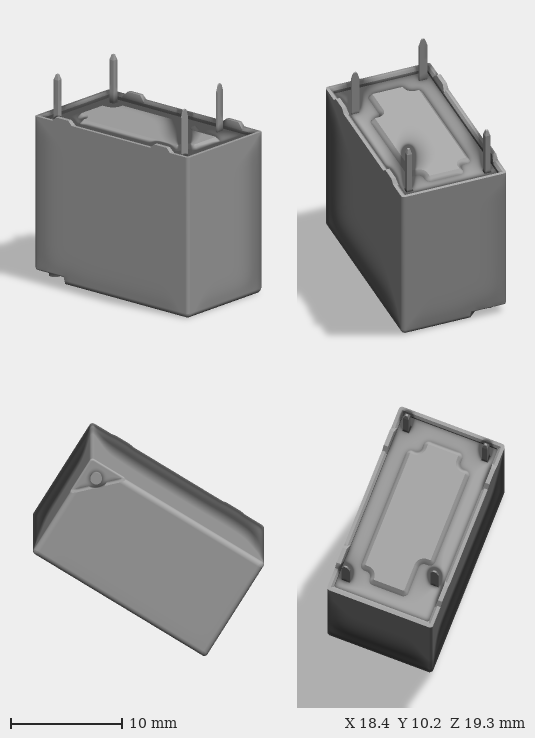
import cadquery as cq
import math

LENGTH = 18.4
WIDTH = 10.2
TOTAL_HEIGHT = 19.3
RIM_HEIGHT = 15.3

SIDE_EDGE_RADIUS = 0.3
FLOOR_EDGE_RADIUS = 0.5
RIM_THICKNESS = 0.3
WALL_THICKNESS = 0.52
LEAD_IN_DEPTH = 0.23
CAVITY_CORNER_RADIUS = 0.203
FLOOR_THICKNESS = 1.35

TAB_HEIGHT = 0.4
TAB_TOP_LENGTH = 1.5
TAB_TOP_THICKNESS = 0.4
TAB_END_DEPTH = 0.12
TAB_X = 5.89

RECESS_FLOOR_LEG = 3.75
RECESS_TOP_LEG = 3.47
RECESS_HEIGHT = 0.73
RECESS_LIP_RADIUS = 0.17
SCOOP_DIAMETER = 2.8
SCOOP_INSET = 0.96
PEG_DIAMETER = 1.06
PEG_INSET = 1.31
PEG_CLEARANCE = 0.15

BASE_TOP = 14.76
PLATEAU_HEIGHT = 0.4
PLATEAU_CORNER_RADIUS = 0.48
PLATEAU_END_X = 7.2
PLATEAU_SIDE_Y = 3.07
PLATEAU_NOTCH_Y = 1.87
PLATEAU_NOTCH_LEFT_X = -5.85
PLATEAU_NOTCH_BACK_X = 3.67
PLATEAU_NOTCH_FRONT_X = 6.2

PIN_DEPTH = 1.93
PIN_ROW_Y = 3.8
COIL_PIN_X = -7.55
COIL_PIN_SIDE = 0.5
COIL_TIP_SIDE = 0.21
COIL_TIP_LENGTH = 0.5
FUNNEL_SIDE = 0.7
FUNNEL_DEPTH = 0.2
BLADE_WIDTH = 0.8
BLADE_THICKNESS = 0.15
BLADE_TIP_LENGTH = 0.75
BLADE_TIP_DIAMETER = 0.4

CAVITY_LENGTH = LENGTH - 2 * WALL_THICKNESS
CAVITY_WIDTH = WIDTH - 2 * WALL_THICKNESS
COIL_PIN_PLACES = [(COIL_PIN_X, side * PIN_ROW_Y) for side in (-1, 1)]
BLADE_PLACES = [(5.17, PIN_ROW_Y), (7.65, -PIN_ROW_Y)]


def block(length, width, bottom, top):
    """Box centred in X and Y between two heights."""
    return cq.Workplane("XY").workplane(offset=bottom).rect(length, width).extrude(top - bottom)


def frustum(length, width, bottom, top, widening):
    """Rectangular loft that is wider at the top by `widening` on every side."""
    return (
        cq.Workplane("XY").workplane(offset=bottom).rect(length, width)
        .workplane(offset=top - bottom).rect(length + 2 * widening, width + 2 * widening)
        .loft(ruled=True)
    )


def rounded_block(bottom, top, bottom_radius):
    """Block with the plan of the cover, rounded at its upright edges and round its bottom."""
    sides = block(LENGTH, WIDTH, bottom, top).edges("|Z").fillet(SIDE_EDGE_RADIUS)
    return sides.faces("<Z").edges().fillet(bottom_radius)


def make_cavity():
    """Space inside the cover, from its floor to its rim."""
    cavity = block(CAVITY_LENGTH, CAVITY_WIDTH, FLOOR_THICKNESS, RIM_HEIGHT)
    return cavity.edges("|Z").fillet(CAVITY_CORNER_RADIUS)


def make_tab(x, side):
    """Tab with a sloping inner face, standing on the foot of the lead-in.

    Its ends slope at 45 degrees to a little below the rim, then drop upright.
    """
    bottom = RIM_HEIGHT - LEAD_IN_DEPTH
    top = RIM_HEIGHT + TAB_HEIGHT
    slope_bottom = RIM_HEIGHT - TAB_END_DEPTH
    top_half = TAB_TOP_LENGTH / 2
    bottom_half = top_half + top - slope_bottom
    outer_y = WIDTH / 2
    ends = (
        cq.Workplane("XZ", origin=(x, 0, 0))
        .polyline([
            (-bottom_half, bottom),
            (bottom_half, bottom),
            (bottom_half, slope_bottom),
            (top_half, top),
            (-top_half, top),
            (-bottom_half, slope_bottom),
        ])
        .close().extrude(outer_y, both=True)
    )
    section = (
        cq.Workplane("YZ")
        .polyline([
            (side * outer_y, bottom),
            (side * (outer_y - WALL_THICKNESS), bottom),
            (side * (outer_y - TAB_TOP_THICKNESS), top),
            (side * outer_y, top),
        ])
        .close().extrude(LENGTH, both=True)
    )
    return ends.intersect(section)


def corner_prism(bottom_leg, top_leg, height):
    """Triangular prism from Z = 0 over the -X, -Y corner, with its long side drafted across the corner."""
    return (
        cq.Workplane("XY", origin=(-LENGTH / 2, -WIDTH / 2, 0))
        .polyline([(0, 0), (bottom_leg, 0), (0, bottom_leg)]).close()
        .workplane(offset=height)
        .polyline([(0, 0), (top_leg, 0), (0, top_leg)]).close()
        .loft(ruled=True)
    )


def corner_cylinder(diameter, inset, bottom, top):
    """Upright cylinder on the diagonal of the -X, -Y corner."""
    return (
        cq.Workplane("XY", origin=(-LENGTH / 2 + inset, -WIDTH / 2 + inset, bottom))
        .circle(diameter / 2).extrude(top - bottom)
    )


def make_corner_recess():
    """Drafted recess across the corner, scooped at its middle, with a rounded lip and a peg left standing."""
    lip_top = RECESS_HEIGHT + RECESS_LIP_RADIUS
    ceiling = rounded_block(RECESS_HEIGHT, RIM_HEIGHT, RECESS_LIP_RADIUS)
    scoop = corner_cylinder(SCOOP_DIAMETER, SCOOP_INSET, 0, RECESS_HEIGHT)
    peg = corner_cylinder(PEG_DIAMETER, PEG_INSET, PEG_CLEARANCE, RECESS_HEIGHT)
    return corner_prism(RECESS_FLOOR_LEG, RECESS_TOP_LEG, lip_top).cut(ceiling).union(scoop).cut(peg)


def make_cover():
    """Open box with a lead-in inside its rim, four tabs and a recess under one corner."""
    cover = rounded_block(0, RIM_HEIGHT, FLOOR_EDGE_RADIUS).cut(make_cavity())
    cover = cover.cut(
        frustum(CAVITY_LENGTH, CAVITY_WIDTH, RIM_HEIGHT - LEAD_IN_DEPTH, RIM_HEIGHT,
                WALL_THICKNESS - RIM_THICKNESS)
    )
    for x in (-TAB_X, TAB_X):
        for side in (-1, 1):
            cover = cover.union(make_tab(x, side))
    return cover.cut(make_corner_recess())


def make_plateau():
    """Raised field with stepped corners, rounded in plan and chamfered all round its top."""
    outline = [
        (-PLATEAU_END_X, -PLATEAU_NOTCH_Y),
        (PLATEAU_NOTCH_LEFT_X, -PLATEAU_NOTCH_Y),
        (PLATEAU_NOTCH_LEFT_X, -PLATEAU_SIDE_Y),
        (PLATEAU_NOTCH_FRONT_X, -PLATEAU_SIDE_Y),
        (PLATEAU_NOTCH_FRONT_X, -PLATEAU_NOTCH_Y),
        (PLATEAU_END_X, -PLATEAU_NOTCH_Y),
        (PLATEAU_END_X, PLATEAU_NOTCH_Y),
        (PLATEAU_NOTCH_BACK_X, PLATEAU_NOTCH_Y),
        (PLATEAU_NOTCH_BACK_X, PLATEAU_SIDE_Y),
        (PLATEAU_NOTCH_LEFT_X, PLATEAU_SIDE_Y),
        (PLATEAU_NOTCH_LEFT_X, PLATEAU_NOTCH_Y),
        (-PLATEAU_END_X, PLATEAU_NOTCH_Y),
    ]
    plateau = (
        cq.Workplane("XY").workplane(offset=BASE_TOP - PLATEAU_HEIGHT)
        .polyline(outline).close().extrude(2 * PLATEAU_HEIGHT)
    )
    return plateau.edges("|Z").fillet(PLATEAU_CORNER_RADIUS).faces(">Z").chamfer(PLATEAU_HEIGHT)


def make_base(pins):
    """Block that fills the cavity, with funnels around the coil pins and a hole for every pin."""
    base = make_cavity().intersect(block(LENGTH, WIDTH, 0, BASE_TOP))
    base = base.union(make_plateau())
    funnel = frustum(COIL_PIN_SIDE, COIL_PIN_SIDE, BASE_TOP - FUNNEL_DEPTH, BASE_TOP,
                     (FUNNEL_SIDE - COIL_PIN_SIDE) / 2)
    for x, y in COIL_PIN_PLACES:
        base = base.cut(funnel.translate((x, y, 0)))
    for pin in pins:
        base = base.cut(pin)
    return base


def make_coil_pin(x, y):
    """Square pin with a pyramid tip."""
    shoulder = TOTAL_HEIGHT - COIL_TIP_LENGTH
    pin = block(COIL_PIN_SIDE, COIL_PIN_SIDE, BASE_TOP - PIN_DEPTH, shoulder)
    tip = frustum(COIL_PIN_SIDE, COIL_PIN_SIDE, shoulder, TOTAL_HEIGHT, (COIL_TIP_SIDE - COIL_PIN_SIDE) / 2)
    return pin.union(tip).translate((x, y, 0))


def make_contact_blade(x, y):
    """Flat blade whose tapering sides run tangent into a round tip."""
    bottom = BASE_TOP - PIN_DEPTH
    half = BLADE_WIDTH / 2
    shoulder = TOTAL_HEIGHT - BLADE_TIP_LENGTH
    radius = BLADE_TIP_DIAMETER / 2
    centre = TOTAL_HEIGHT - radius
    rise = shoulder - centre
    touch = math.atan2(rise, half) + math.acos(radius / math.hypot(half, rise))
    touch_y = radius * math.cos(touch)
    touch_z = centre + radius * math.sin(touch)
    return (
        cq.Workplane("YZ")
        .moveTo(-half, bottom).lineTo(half, bottom).lineTo(half, shoulder).lineTo(touch_y, touch_z)
        .threePointArc((0, TOTAL_HEIGHT), (-touch_y, touch_z))
        .lineTo(-half, shoulder).close()
        .extrude(BLADE_THICKNESS / 2, both=True)
        .translate((x, y, 0))
    )


cover = make_cover()
coil_pins = [make_coil_pin(x, y) for x, y in COIL_PIN_PLACES]
contact_blades = [make_contact_blade(x, y) for x, y in BLADE_PLACES]
pins = coil_pins + contact_blades
base = make_base(pins)

result = cq.Compound.makeCompound([cover.val(), base.val(), *[pin.val() for pin in pins]])